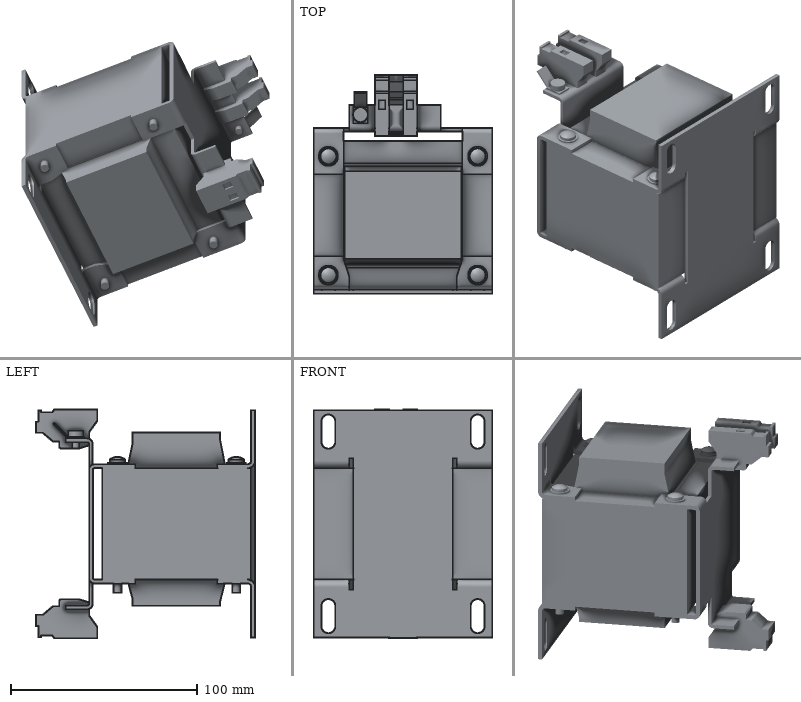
import cadquery as cq
import math


width = 96.0
half_width = width / 2
core_half_height = 29.9
core_back = 82.2

plate_height = 122.3
plate_thickness = 2.2
plate_bend_radius = 3.9
window_inner_x = 26.7
window_half_height = 35.3
front_leg_inner_x = 28.9
front_leg_end = 20.3
leg_taper_start = 9.3
leg_taper_end = 18.8

slot_x = 40.1
slot_z = 49.6
slot_length = 18.2
slot_width = 7.4

rear_thickness = 2.0
rear_bend_radius = 3.0
rear_face = 89.2
rear_leg_inner_x = 31.9
rear_leg_end = 64.3
web_half_height = 28.8
shelf_left = -28.9
shelf_right = 20.3
shelf_end = 101.6
shelf_top = 45.9

bobbin_front = 14.1
bobbin_back = 70.2
bobbin_step = 0.1
coil_half_width = 31.2
coil_front = 18.8
coil_back = 65.9
coil_back_flare = 2.7
coil_front_flare = 3.1
coil_back_straight_top = 42.8
coil_back_straight_bottom = -40.1
coil_front_straight_top = 45.8
coil_front_straight_bottom = -42.1
coil_top = 49.2
coil_bottom = -44.0

screw_x = 40.1
screw_rows = (10.1, 73.9)
washer_diameter = 10.3
washer_thickness = 0.9
head_diameter = 8.5
head_side = 1.6
head_dome = 1.5
shank_diameter = 4.4
shank_end = -37.0

terminal_width = 7.6
upper_terminal_starts = (-15.1, 0.0)
lower_terminal_starts = (-terminal_width, 0.0)
terminal_outline = [
    (84.7, 61.5), (107.9, 61.5), (109.0, 60.0), (114.9, 60.0), (114.9, 61.0), (116.4, 61.0), (116.4, 55.0),
    (117.7, 55.0), (117.7, 48.8), (114.0, 48.8), (108.5, 44.2), (105.3, 44.2), (105.3, 41.1), (104.4, 40.5),
    (94.6, 40.5), (89.0, 42.2), (89.0, 49.3), (84.7, 55.4),
]
pocket_width = 3.6
pocket_length = 4.8
pocket_depth = 1.2
pocket_y = 101.6

earth_x = -22.9
earth_y = 96.3
earth_plate_width = 7.9
earth_plate_length = 9.3
earth_plate_thickness = 1.0
earth_head_diameter = 8.0
earth_head_height = 3.1
earth_shank_diameter = 3.7
earth_shank_end = 40.6
lip_width = 6.9
lip_thickness = 0.6
lip_reach = 7.5
lip_angle = 45.0


def block(x_range, y_range, z_range):
    """Box between two values on each axis."""
    size = [high - low for low, high in (x_range, y_range, z_range)]
    corner = (x_range[0], y_range[0], z_range[0])
    return cq.Workplane("XY").box(*size, centered=False).translate(corner)


def rod(x, y, z_range, diameter):
    """Upright cylinder."""
    low, high = z_range
    return cq.Workplane("XY", origin=(x, y, low)).circle(diameter / 2).extrude(high - low)


def side_profile(points, x_range):
    """Polygon of (y, z) points extruded along X."""
    plane = cq.Workplane("YZ", origin=(x_range[0], 0, 0))
    return plane.polyline(points).close().extrude(x_range[1] - x_range[0])


def bent_sheet(x_range, corner, end_y, end_z, thickness, radius):
    """Right-angle sheet: `corner` is the outer (y, z) corner, rounded to `radius`."""
    y, z = corner
    toward_y = math.copysign(1, end_y - y)
    toward_z = math.copysign(1, end_z - z)
    center_y = y + toward_y * radius
    center_z = z + toward_z * radius
    inner_radius = radius - thickness

    def arc_middle(arc_radius):
        offset = arc_radius * math.sqrt(0.5)
        return (center_y - toward_y * offset, center_z - toward_z * offset)

    inner_y = y + toward_y * thickness
    inner_z = z + toward_z * thickness
    return (
        cq.Workplane("YZ", origin=(x_range[0], 0, 0))
        .moveTo(y, end_z)
        .lineTo(y, center_z)
        .threePointArc(arc_middle(radius), (center_y, z))
        .lineTo(end_y, z)
        .lineTo(end_y, inner_z)
        .lineTo(center_y, inner_z)
        .threePointArc(arc_middle(inner_radius), (inner_y, center_z))
        .lineTo(inner_y, end_z)
        .close()
        .extrude(x_range[1] - x_range[0])
    )


def four_fold(quarter):
    """Repeat a quarter on both sides in X and in Z."""
    half = quarter.union(quarter.mirror("YZ"))
    return half.union(half.mirror("XY"))


def make_core():
    return block(
        (-half_width, half_width),
        (plate_thickness, core_back),
        (-core_half_height, core_half_height),
    )


def make_front_leg():
    leg = bent_sheet(
        (front_leg_inner_x, half_width),
        (0, core_half_height),
        front_leg_end,
        window_half_height,
        plate_thickness,
        plate_bend_radius,
    )
    taper = (
        cq.Workplane("XY")
        .polyline([
            (front_leg_inner_x, leg_taper_start),
            (rear_leg_inner_x, leg_taper_end),
            (rear_leg_inner_x, front_leg_end),
            (front_leg_inner_x, front_leg_end),
        ])
        .close()
        .extrude(plate_height)
    )
    return leg.cut(taper)


def make_mounting_plate():
    plate = block(
        (-half_width, half_width),
        (0, plate_thickness),
        (-plate_height / 2, plate_height / 2),
    )
    window = block(
        (window_inner_x, half_width),
        (0, plate_thickness),
        (-window_half_height, window_half_height),
    )
    slots = (
        cq.Workplane("XZ")
        .rect(2 * slot_x, 2 * slot_z, forConstruction=True)
        .vertices()
        .slot2D(slot_length, slot_width, 90)
        .extrude(-plate_thickness)
    )
    plate = plate.cut(window).cut(window.mirror("YZ")).cut(slots)
    return plate.union(four_fold(make_front_leg()))


def make_rear_bracket():
    leg = bent_sheet(
        (rear_leg_inner_x, half_width),
        (rear_face, core_half_height + plate_thickness),
        rear_leg_end,
        0,
        plate_thickness,
        rear_bend_radius,
    )
    web = block(
        (-rear_leg_inner_x, rear_leg_inner_x),
        (rear_face - rear_thickness, rear_face),
        (-web_half_height, web_half_height),
    )
    shelf = bent_sheet(
        (shelf_left, shelf_right),
        (rear_face - rear_thickness, shelf_top),
        shelf_end,
        0,
        rear_thickness,
        rear_bend_radius,
    )
    return four_fold(leg).union(web).union(shelf).union(shelf.mirror("XY"))


def make_winding():
    bobbin_half_height = core_half_height + bobbin_step
    bobbin = block(
        (-rear_leg_inner_x, rear_leg_inner_x),
        (bobbin_front, bobbin_back),
        (-bobbin_half_height, bobbin_half_height),
    )
    coil = side_profile(
        [
            (coil_front, coil_top),
            (coil_back, coil_top),
            (coil_back, coil_back_straight_top),
            (coil_back + coil_back_flare, bobbin_half_height),
            (coil_back + coil_back_flare, -bobbin_half_height),
            (coil_back, coil_back_straight_bottom),
            (coil_back, coil_bottom),
            (coil_front, coil_bottom),
            (coil_front, coil_front_straight_bottom),
            (coil_front - coil_front_flare, -bobbin_half_height),
            (coil_front - coil_front_flare, bobbin_half_height),
            (coil_front, coil_front_straight_top),
        ],
        (-coil_half_width, coil_half_width),
    )
    return bobbin.union(coil)


def make_screw(x, y):
    seat = core_half_height + plate_thickness
    washer_top = seat + washer_thickness
    head_top = washer_top + head_side
    head_radius = head_diameter / 2
    dome_radius = (head_radius**2 + head_dome**2) / (2 * head_dome)
    dome = (
        cq.Workplane("XY")
        .sphere(dome_radius)
        .translate((x, y, head_top + head_dome - dome_radius))
        .intersect(rod(x, y, (washer_top, head_top + head_dome), head_diameter))
    )
    return (
        rod(x, y, (shank_end, washer_top), shank_diameter)
        .union(rod(x, y, (seat, washer_top), washer_diameter))
        .union(dome)
    )


def make_terminal(start_x):
    terminal = side_profile(terminal_outline, (start_x, start_x + terminal_width))
    top = max(z for _, z in terminal_outline)
    middle_x = start_x + terminal_width / 2
    pocket = block(
        (middle_x - pocket_width / 2, middle_x + pocket_width / 2),
        (pocket_y - pocket_length / 2, pocket_y + pocket_length / 2),
        (top - pocket_depth, top),
    )
    return terminal.cut(pocket)


def make_earth_terminal():
    plate_top = shelf_top + earth_plate_thickness
    plate_end = earth_y + earth_plate_length / 2
    plate = block(
        (earth_x - earth_plate_width / 2, earth_x + earth_plate_width / 2),
        (earth_y - earth_plate_length / 2, plate_end),
        (shelf_top, plate_top),
    )
    rise = lip_reach * math.tan(math.radians(lip_angle))
    lip = side_profile(
        [
            (plate_end - lip_thickness, plate_top),
            (plate_end, plate_top - lip_thickness),
            (plate_end + lip_reach, plate_top - lip_thickness + rise),
            (plate_end + lip_reach - lip_thickness, plate_top + rise),
        ],
        (earth_x - lip_width / 2, earth_x + lip_width / 2),
    )
    head = rod(earth_x, earth_y, (plate_top, plate_top + earth_head_height), earth_head_diameter)
    shank = rod(earth_x, earth_y, (earth_shank_end, plate_top), earth_shank_diameter)
    return plate.union(lip).union(head).union(shank)


result = make_core().union(make_mounting_plate()).union(make_rear_bracket()).union(make_winding())
for side in (-1, 1):
    for row_y in screw_rows:
        result = result.union(make_screw(side * screw_x, row_y))
for start in upper_terminal_starts:
    result = result.union(make_terminal(start))
for start in lower_terminal_starts:
    result = result.union(make_terminal(start).mirror("XY"))
result = result.union(make_earth_terminal())